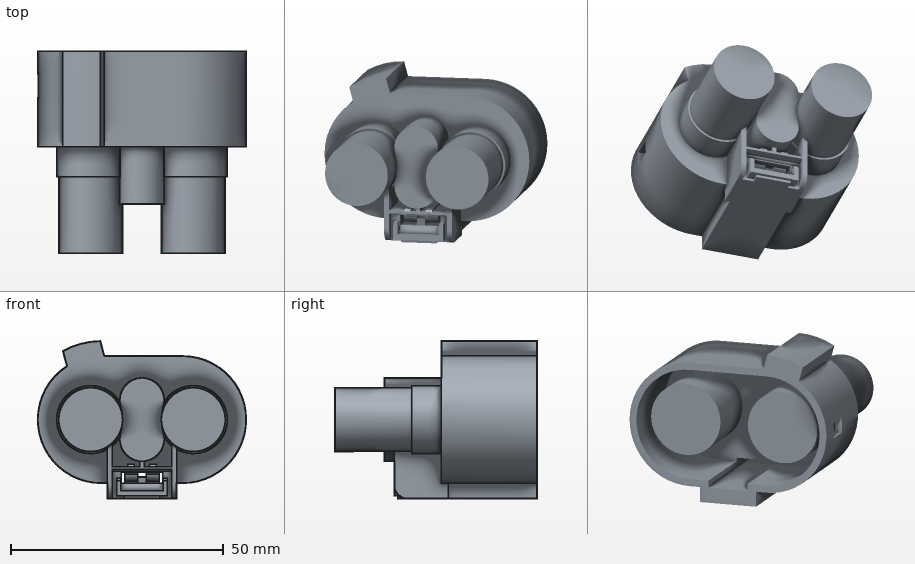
import cadquery as cq
import math


body_width = 49.0
body_height = 29.9
body_depth = 22.5
body_radius = body_height / 2
body_arc_x = body_width / 2 - body_radius
wall = 1.7
front_wall = 2.45

window_length = 5.7
window_height = 3.55
window_back_gap = 5.3

key_radius = 18.45
key_width = 9.1
key_slant = 15.0

pin_x = 12.05
pin_diameter = 15.0
pin_length = 25.05
collar_diameter = 15.95
collar_length = 7.0
sleeve_diameter = 17.25
sleeve_back_gap = 4.4

lobe_radius = 5.2
lobe_z = 4.6
waist_half_width = 4.6
post_length = 13.4

housing_front = -11.05
housing_bottom = -18.55
housing_half_width = 8.15
side_wall = 1.2
side_wall_top = -5.4
side_wall_back = 1.55
side_wall_round = 3.15
inner_half_width = housing_half_width - side_wall
shelf_top = -11.0
shelf_thickness = 0.6
shelf_bottom = shelf_top - shelf_thickness
shelf_round = 0.5
rib_width = 1.0
frame_front = -8.35
foot_front = -10.3
foot_half_width = 4.2
tab_x = 2.55
tab_width = 1.5
tab_height = 0.5
tab_slope_depth = 0.25

opening_half_width = 4.85
opening_top = -12.4
opening_bottom = -body_radius
lip_bottom = -16.65
lip_depth = 0.75

rim_half_width = 5.95
rim_top = -13.75
rim_bottom = -17.95
rim_inner_half_width = 4.95
rim_step_height = 0.6
rim_step_depth = 0.4

latch_front = -7.35
latch_depth = 3.9
latch_half_width = 4.05
middle_half_width = 1.0
middle_top = -13.4
nose_bottom = -14.45
nose_radius = 1.65
nose_slope_depth = 1.45


def block(x_min, x_max, y_min, y_max, z_min, z_max):
    """Box given by its limits along each axis."""
    size = (x_max - x_min, y_max - y_min, z_max - z_min)
    return cq.Workplane("XY").box(*size, centered=False).translate((x_min, y_min, z_min))


def along_y(y_front, y_back, sketch):
    """Extrude the outline that `sketch` draws in XZ from y_front to y_back."""
    plane = cq.Workplane("XZ", origin=(0, y_back, 0))
    return sketch(plane).extrude(y_back - y_front)


def along_x(x_min, x_max, points):
    """Extrude a polygon of (y, z) points from x_min to x_max."""
    return cq.Workplane("YZ", origin=(x_min, 0, 0)).polyline(points).close().extrude(x_max - x_min)


def obround(y_front, y_back, radius):
    """Obround along Y whose two round ends share the axes of the body ends."""
    return along_y(y_front, y_back, lambda plane: plane.slot2D(2 * (body_arc_x + radius), 2 * radius))


def make_key():
    """Bar leaning to the left, capped by an arc about the left body axis."""
    bar = block(-key_width / 2, key_width / 2, 0, body_depth, 0, 2 * key_radius)
    bar = bar.rotate((0, 0, 0), (0, 1, 0), -key_slant).translate((-body_arc_x, 0, 0))
    cap = along_y(0, body_depth, lambda plane: plane.center(-body_arc_x, 0).circle(key_radius))
    return bar.intersect(cap)


def make_body():
    """Hollow body with its key, the rear latch tunnel below it and the side window."""
    cavity = obround(front_wall, body_depth, body_radius - wall)
    window_back = body_depth - window_back_gap
    window = block(
        -body_width / 2, -pin_x,
        window_back - window_length, window_back,
        -window_height / 2, window_height / 2,
    )
    tunnel = block(-inner_half_width, inner_half_width, 0, body_depth, housing_bottom, opening_bottom + wall)
    return obround(0, body_depth, body_radius).union(make_key()).union(tunnel).cut(cavity).cut(window)


def make_pin(x):
    """Pin with its collar in front of the body and its sleeve inside the body."""
    pin = along_y(-pin_length, 0, lambda plane: plane.center(x, 0).circle(pin_diameter / 2))
    collar = along_y(-collar_length, 0, lambda plane: plane.center(x, 0).circle(collar_diameter / 2))
    sleeve = along_y(
        front_wall / 2, body_depth - sleeve_back_gap,
        lambda plane: plane.center(x, 0).circle(sleeve_diameter / 2),
    )
    return pin.union(collar).union(sleeve)


def post_outline(plane):
    """Two round lobes joined by hollow arcs that are tangent to both."""
    blend_radius = (lobe_z**2 + waist_half_width**2 - lobe_radius**2) / (2 * (lobe_radius - waist_half_width))
    lobe_share = lobe_radius / (lobe_radius + blend_radius)
    touch_x = (waist_half_width + blend_radius) * lobe_share
    touch_z = lobe_z * (1 - lobe_share)
    end_z = lobe_z + lobe_radius
    return (
        plane.moveTo(touch_x, touch_z)
        .threePointArc((0, end_z), (-touch_x, touch_z))
        .threePointArc((-waist_half_width, 0), (-touch_x, -touch_z))
        .threePointArc((0, -end_z), (touch_x, -touch_z))
        .threePointArc((waist_half_width, 0), (touch_x, touch_z))
        .close()
    )


def make_side_wall(x_min):
    """Side wall of the latch housing, rounded at its lower front corner."""
    side = block(x_min, x_min + side_wall, housing_front, side_wall_back, housing_bottom, side_wall_top)
    return side.edges("<Y and <Z").fillet(side_wall_round)


def make_shelf():
    """Shelf between the side walls, rounded into the frame below, with a rib to the post and two wedges."""
    shelf = block(-inner_half_width, inner_half_width, housing_front, 0, shelf_bottom, shelf_top)
    corner = (
        cq.Workplane("YZ", origin=(-inner_half_width, 0, 0))
        .moveTo(frame_front, shelf_bottom)
        .lineTo(frame_front - shelf_round, shelf_bottom)
        .radiusArc((frame_front, shelf_bottom - shelf_round), -shelf_round)
        .lineTo(frame_front, shelf_bottom)
        .close()
        .extrude(2 * inner_half_width)
    )
    rib = block(-rib_width / 2, rib_width / 2, housing_front, 0, shelf_bottom, -lobe_z - lobe_radius / 2)
    shelf = shelf.union(corner).union(rib)
    for x in (-tab_x, tab_x):
        wedge = along_x(
            x - tab_width / 2, x + tab_width / 2,
            [
                (housing_front, shelf_top),
                (0, shelf_top),
                (0, shelf_top + tab_height),
                (housing_front + tab_slope_depth, shelf_top + tab_height),
            ],
        )
        shelf = shelf.union(wedge)
    return shelf


def make_rim():
    """U-shaped rim on the frame, open at the top, with stepped ends."""
    rim = block(-rim_half_width, rim_half_width, housing_front, frame_front, rim_bottom, rim_top)
    step = block(
        -rim_half_width, rim_half_width,
        housing_front, housing_front + rim_step_depth,
        rim_top - rim_step_height, rim_top,
    )
    gap = block(
        -rim_inner_half_width, rim_inner_half_width, housing_front, frame_front, lip_bottom, rim_top
    )
    return rim.cut(step).cut(gap)


def make_opening():
    """Straight passage through the housing with a sloping lip at its lower front edge."""
    passage = block(
        -opening_half_width, opening_half_width, frame_front, body_depth, opening_bottom, opening_top
    )
    lip = along_x(
        -rim_inner_half_width, rim_inner_half_width,
        [(frame_front, opening_bottom), (frame_front, lip_bottom), (frame_front + lip_depth, opening_bottom)],
    )
    return passage.union(lip)


def make_latch():
    """Two arms with rounded lower noses, and a lower middle block between them."""
    latch_back = latch_front + latch_depth
    base_front = latch_front + nose_radius
    arms = (
        cq.Workplane("YZ", origin=(-latch_half_width, 0, 0))
        .moveTo(latch_back, opening_bottom)
        .lineTo(base_front, opening_bottom)
        .lineTo(base_front, nose_bottom)
        .radiusArc((latch_front, nose_bottom + nose_radius), nose_radius)
        .lineTo(latch_front + nose_slope_depth, opening_top)
        .lineTo(latch_back, opening_top)
        .close()
        .extrude(2 * latch_half_width)
    )
    gap = block(
        -middle_half_width, middle_half_width, latch_front, latch_back, opening_bottom, opening_top
    )
    middle = block(
        -middle_half_width, middle_half_width, latch_front, latch_back, opening_bottom, middle_top
    )
    return arms.cut(gap).union(middle)


def make_housing():
    """Frame with its foot, shelf and rim between the two side walls."""
    frame = block(
        -inner_half_width, inner_half_width, frame_front, 0, housing_bottom, shelf_bottom
    )
    foot = block(-foot_half_width, foot_half_width, foot_front, 0, housing_bottom, rim_bottom)
    housing = frame.union(foot).union(make_shelf()).union(make_rim())
    for x_min in (-housing_half_width, inner_half_width):
        housing = housing.union(make_side_wall(x_min))
    return housing


body = make_body()
housing = make_housing()
post = along_y(-post_length, 0, post_outline)

result = body.union(housing)
result = result.cut(make_opening()).union(make_latch()).union(post)
for x in (-pin_x, pin_x):
    result = result.union(make_pin(x))